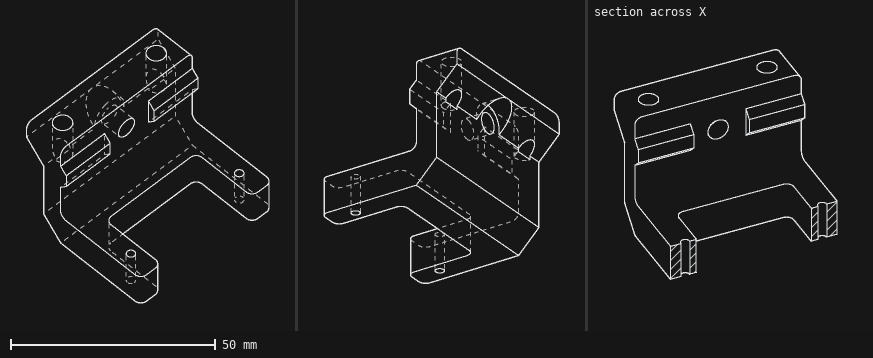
import cadquery as cq

LENGTH = 40.0
WIDTH = 45.0
HEIGHT = 35.0

WALL = 6.0
WALL_BACK = WALL
WALL_FRONT = 2 * WALL
BASE_THICKNESS = 10.0
HEAD_UNDERSIDE = 24.0
CORNER_RADIUS = 2.0

RIDGE_DEPTH = 2.0
RIDGE_BOTTOM = 21.0
RIDGE_TOP = 29.0
RIDGE_GAP = 15.0

FORK_START = 20.5
FORK_WIDTH = 31.0

PIN_DIAMETER = 2.3
PIN_X = 32.5
PIN_SPACING = 37.0
MOUNT_DIAMETER = 5.0
MOUNT_SPACING = 32.0
MOUNT_FLOOR = 23.0
BOLT_DIAMETER = 5.5
BOLT_HEAD_DIAMETER = 10.0
BOLT_HEIGHT = 25.0


def make_body():
    """Cranked side profile with 45 degree slopes, extruded across the width."""
    ridge_front = WALL_FRONT + RIDGE_DEPTH
    profile = [
        (0, HEIGHT),
        (WALL_FRONT, HEIGHT),
        (WALL_FRONT, RIDGE_TOP),
        (ridge_front, RIDGE_TOP - RIDGE_DEPTH),
        (ridge_front, RIDGE_BOTTOM + RIDGE_DEPTH),
        (WALL_FRONT, RIDGE_BOTTOM),
        (WALL_FRONT, BASE_THICKNESS),
        (LENGTH, BASE_THICKNESS),
        (LENGTH, 0),
        (WALL_FRONT, 0),
        (WALL_BACK, WALL),
        (WALL_BACK, HEAD_UNDERSIDE),
        (0, HEAD_UNDERSIDE + WALL),
    ]
    body = cq.Workplane("XZ").polyline(profile).close().extrude(WIDTH / 2, both=True)
    inner_corner = cq.selectors.NearestToPointSelector((WALL_FRONT, 0, BASE_THICKNESS))
    body = body.faces(">Z").edges("|X").fillet(CORNER_RADIUS)
    return body.edges("|Y").edges(inner_corner).fillet(CORNER_RADIUS)


def make_ridge_gap():
    """Block that interrupts the ridge in the middle."""
    return (
        cq.Workplane("XY", origin=(WALL_FRONT, 0, RIDGE_BOTTOM))
        .box(RIDGE_DEPTH, RIDGE_GAP, RIDGE_TOP - RIDGE_BOTTOM, centered=(False, True, False))
    )


def make_fork_opening():
    """Opening between the arms, rounded at its inner corners."""
    return (
        cq.Workplane("XY", origin=(FORK_START, 0, 0))
        .box(LENGTH - FORK_START, FORK_WIDTH, BASE_THICKNESS, centered=(False, True, False))
        .faces("<X").edges("|Z").fillet(CORNER_RADIUS)
    )


def make_hole_pair(x, spacing, diameter, bottom, top):
    """Two vertical holes placed symmetrically about the middle."""
    return (
        cq.Workplane("XY", origin=(x, 0, bottom))
        .pushPoints([(0, -spacing / 2), (0, spacing / 2)])
        .circle(diameter / 2)
        .extrude(top - bottom)
    )


def make_bolt_hole():
    """Hole through the wall, with a head recess cut into the sloping underside."""
    start = cq.Workplane("YZ", origin=(0, 0, BOLT_HEIGHT))
    shank = start.circle(BOLT_DIAMETER / 2).extrude(WALL_FRONT)
    recess = start.circle(BOLT_HEAD_DIAMETER / 2).extrude(WALL_BACK)
    return shank.union(recess)


result = (
    make_body()
    .cut(make_ridge_gap())
    .cut(make_fork_opening())
    .faces(">X").edges("|Z").fillet(CORNER_RADIUS)
    .cut(make_hole_pair(PIN_X, PIN_SPACING, PIN_DIAMETER, 0, BASE_THICKNESS))
    .cut(make_hole_pair(WALL_BACK, MOUNT_SPACING, MOUNT_DIAMETER, MOUNT_FLOOR, HEIGHT))
    .cut(make_bolt_hole())
)